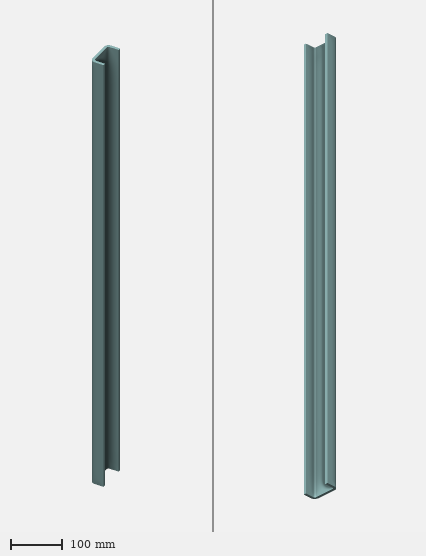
import cadquery as cq

depth = 30.0
width = 65.0
length = 1000.0
wall = 6.0
outer_radius = 10.0
inner_radius = outer_radius - wall


def rounded_block(x_start, block_depth, block_width, radius):
    """Full-length block starting at x_start, with its two -X vertical edges rounded."""
    block = cq.Workplane("XY").box(block_depth, block_width, length, centered=(False, True, False))
    return block.edges("|Z and <X").fillet(radius).translate((x_start, 0, 0))


outside = rounded_block(0, depth, width, outer_radius)
hollow = rounded_block(wall, depth - wall, width - 2 * wall, inner_radius)

result = outside.cut(hollow)